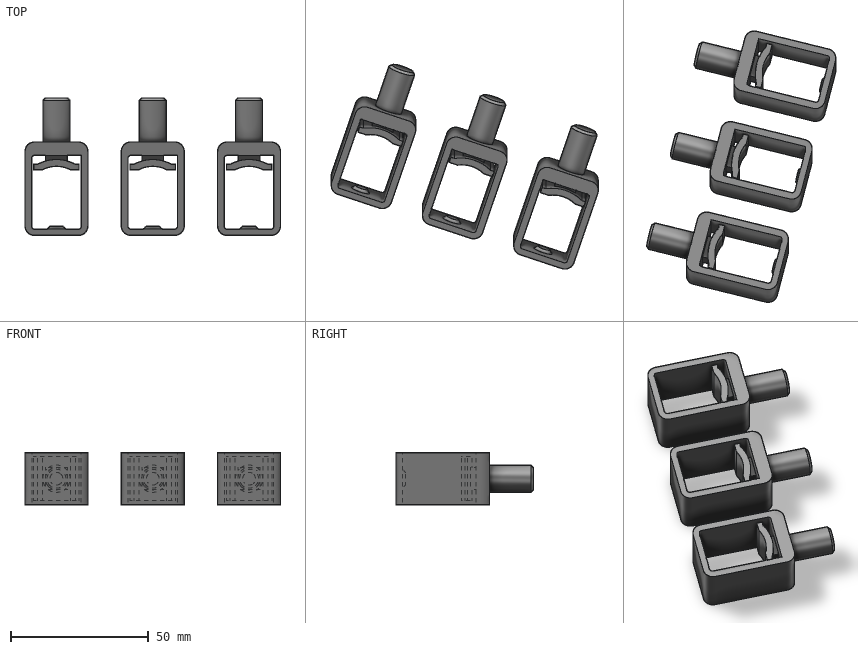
import cadquery as cq

CLAMP_COUNT = 3
ROW_LENGTH = 93.0
FRAME_WIDTH = 23.0
CLAMP_PITCH = (ROW_LENGTH - FRAME_WIDTH) / (CLAMP_COUNT - 1)

FRAME_DEPTH = 34.0
FRAME_HEIGHT = 19.0
SIDE_WALL = 2.5
FRONT_WALL = 2.3
BACK_WALL = 4.9
OUTER_RADIUS = 3.5
INNER_RADIUS = 1.0
OPENING_WIDTH = FRAME_WIDTH - 2 * SIDE_WALL
OPENING_BACK = FRAME_DEPTH - BACK_WALL

SHANK_DIAMETER = 9.95
SHANK_LENGTH = 16.0
SHANK_CHAMFER = 0.9

PLATE_WIDTH = 16.6
PLATE_HEIGHT = 16.0
PLATE_FRONT = 23.9
PLATE_END_THICKNESS = 2.0
FRONT_ARC_CHORD = 10.0
FRONT_ARC_RISE = 1.2
BACK_ARC_CHORD = 13.8
BACK_ARC_RISE = 1.7
PLATE_END_BACK = PLATE_FRONT + PLATE_END_THICKNESS

BLOCK_WIDTH = 8.0
BLOCK_FRONT = PLATE_FRONT + (FRONT_ARC_RISE + PLATE_END_THICKNESS) / 2

BOSS_BASE_RADIUS = 3.4
BOSS_HEIGHT = 1.1
BOSS_TOP_RADIUS = BOSS_BASE_RADIUS - BOSS_HEIGHT


def plane_facing_back(y):
    """Vertical plane at depth y with its normal toward +Y."""
    return cq.Plane(origin=(0, y, 0), xDir=(-1, 0, 0), normal=(0, 1, 0))


def box_between(width, height, y_front, y_back):
    """Box centred on x = 0 and z = 0 that spans the given depths."""
    depth = y_back - y_front
    return cq.Workplane("XY").box(width, depth, height).translate((0, (y_front + y_back) / 2, 0))


def make_frame():
    outer = box_between(FRAME_WIDTH, FRAME_HEIGHT, 0, FRAME_DEPTH)
    outer = outer.edges("|Z").fillet(OUTER_RADIUS)
    opening = box_between(OPENING_WIDTH, FRAME_HEIGHT, FRONT_WALL, OPENING_BACK)
    opening = opening.edges("|Z and (<X or <Y)").fillet(INNER_RADIUS)
    return outer.cut(opening)


def make_shank():
    shank = cq.Workplane(plane_facing_back(FRAME_DEPTH)).circle(SHANK_DIAMETER / 2).extrude(SHANK_LENGTH)
    return shank.faces(">Y").chamfer(SHANK_CHAMFER)


def make_plate():
    outline = (
        cq.Workplane("XY")
        .moveTo(-PLATE_WIDTH / 2, PLATE_FRONT)
        .lineTo(-FRONT_ARC_CHORD / 2, PLATE_FRONT)
        .threePointArc((0, PLATE_FRONT + FRONT_ARC_RISE), (FRONT_ARC_CHORD / 2, PLATE_FRONT))
        .lineTo(PLATE_WIDTH / 2, PLATE_FRONT)
        .lineTo(PLATE_WIDTH / 2, PLATE_END_BACK)
        .lineTo(BACK_ARC_CHORD / 2, PLATE_END_BACK)
        .threePointArc((0, PLATE_END_BACK + BACK_ARC_RISE), (-BACK_ARC_CHORD / 2, PLATE_END_BACK))
        .lineTo(-PLATE_WIDTH / 2, PLATE_END_BACK)
        .close()
    )
    return outline.extrude(PLATE_HEIGHT / 2, both=True)


def make_block():
    return box_between(BLOCK_WIDTH, BLOCK_WIDTH, BLOCK_FRONT, OPENING_BACK)


def make_boss():
    base = cq.Workplane(plane_facing_back(FRONT_WALL)).circle(BOSS_BASE_RADIUS)
    return base.workplane(offset=BOSS_HEIGHT).circle(BOSS_TOP_RADIUS).loft()


def make_clamp(x):
    """One clamp, a single solid, centred on the given x."""
    clamp = make_frame().union(make_shank()).union(make_block()).union(make_plate()).union(make_boss())
    return clamp.translate((x, 0, 0))


clamps = []
for index in range(CLAMP_COUNT):
    clamp_x = (index - (CLAMP_COUNT - 1) / 2) * CLAMP_PITCH
    clamps.append(make_clamp(clamp_x).val())

result = cq.Compound.makeCompound(clamps)